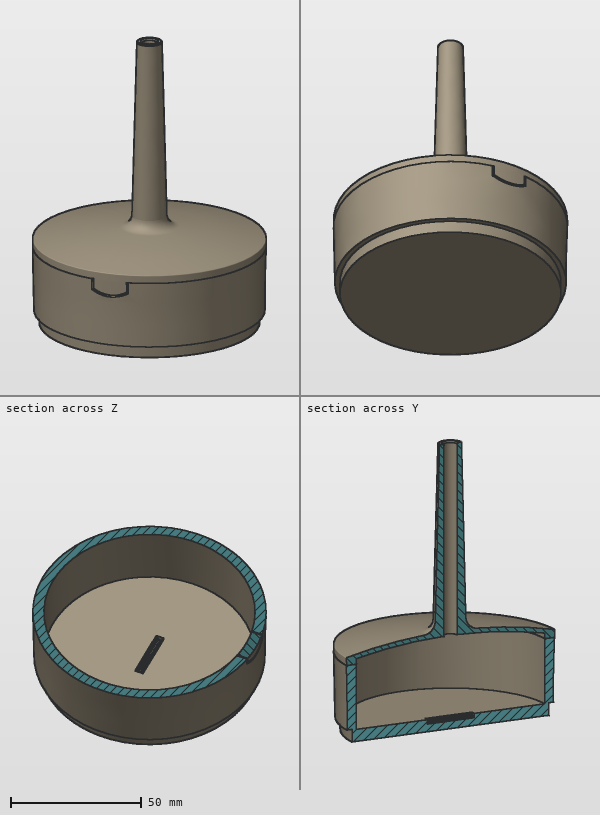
import cadquery as cq
import math

total_height = 114.08
outer_radius = 90 / 2

spigot_radius = 85 / 2
spigot_height = 5.0
base_bottom_radius = 89 / 2
cavity_radius = 81 / 2
floor_thickness = 5.0
joint_height = 31.0

rim_top = 33.8
rim_rounding = 0.4
dome_sphere_radius = 201.0
shell_thickness = 2.0
stem_foot_radius = 6.75
stem_foot_height = 43.3
stem_tip_radius = 4.9
fillet_outer_radius = 11.4
stem_tip_chamfer = 0.4

bore_radius = 2.8
mouth_radius = 3.4
mouth_depth = 0.6

tab_half_width = 6.75
tab_side_end = 27.1
tab_bottom = 25.3
tab_gap = 0.15
notch_chamfer = 0.55

trough_widths = (3.2, 2.46, 2.0)
trough_step_depth = 0.5
trough_v_width = 1.4
trough_v_depth = 0.25
trough_length = 20.0

dome_start_radius = outer_radius - rim_rounding
dome_start_height = rim_top + rim_rounding
dome_center_height = dome_start_height - math.sqrt(dome_sphere_radius**2 - dome_start_radius**2)


def dome_height(radius, sphere_radius=dome_sphere_radius):
    """Height of a sphere about the dome centre at a distance from the axis."""
    return dome_center_height + math.sqrt(sphere_radius**2 - radius**2)


def revolve_profile(profile):
    return profile.close().revolve(360, (0, 0, 0), (0, 1, 0))


def tab_prism(gap):
    """Tab outline with straight sides and an arched lower edge, offset outward by a gap."""
    half_width = tab_half_width + gap
    return (
        cq.Workplane("XZ")
        .moveTo(-half_width, joint_height)
        .lineTo(-half_width, tab_side_end - gap)
        .threePointArc((0, tab_bottom - gap), (half_width, tab_side_end - gap))
        .lineTo(half_width, joint_height)
        .close()
        .extrude(outer_radius)
    )


def make_wall():
    """Tapered wall between the spigot and the joint."""
    return revolve_profile(
        cq.Workplane("XZ")
        .moveTo(cavity_radius, spigot_height)
        .lineTo(base_bottom_radius, spigot_height)
        .lineTo(outer_radius, joint_height)
        .lineTo(cavity_radius, joint_height)
    )


def make_notched_wall():
    """Wall with the tab notch, whose outer edges are chamfered."""
    mid_wall_radius = (cavity_radius + outer_radius) / 2
    notch_edges = cq.selectors.BoxSelector(
        (-tab_half_width * 2, -outer_radius * 2, spigot_height * 2),
        (tab_half_width * 2, -mid_wall_radius, (tab_side_end + joint_height) / 2),
    )
    wall = make_wall().cut(tab_prism(tab_gap))
    return wall.edges(notch_edges).chamfer(notch_chamfer)


def make_trough():
    """Slots that narrow step by step with depth, ending in a V groove."""
    slot_floor = floor_thickness
    trough = cq.Workplane("XY")
    for width in trough_widths:
        slot_floor -= trough_step_depth
        slot = (
            cq.Workplane("XY").workplane(offset=slot_floor)
            .rect(trough_length, width).extrude(floor_thickness - slot_floor)
        )
        trough = trough.union(slot)
    v_half_width = trough_v_width / 2
    v_groove = (
        cq.Workplane("YZ")
        .moveTo(-v_half_width, slot_floor)
        .lineTo(0, slot_floor - trough_v_depth)
        .lineTo(v_half_width, slot_floor)
        .close()
        .extrude(trough_length / 2, both=True)
    )
    return trough.union(v_groove)


def make_base():
    spigot = cq.Workplane("XY").circle(spigot_radius).extrude(spigot_height)
    cavity = (
        cq.Workplane("XY").workplane(offset=floor_thickness)
        .circle(cavity_radius).extrude(joint_height - floor_thickness)
    )
    return spigot.union(make_notched_wall()).cut(cavity).cut(make_trough())


def make_lid():
    fillet_top = (stem_foot_radius, stem_foot_height)
    fillet_end = (fillet_outer_radius, dome_height(fillet_outer_radius))
    dome_middle = (fillet_outer_radius + dome_start_radius) / 2
    inner_sphere_radius = dome_sphere_radius - shell_thickness
    inner_middle = (bore_radius + cavity_radius) / 2
    rounding_middle = rim_rounding * math.sqrt(0.5)
    shell = revolve_profile(
        cq.Workplane("YZ")
        .moveTo(bore_radius, dome_height(bore_radius, inner_sphere_radius))
        .threePointArc(
            (inner_middle, dome_height(inner_middle, inner_sphere_radius)),
            (cavity_radius, dome_height(cavity_radius, inner_sphere_radius)),
        )
        .lineTo(cavity_radius, joint_height)
        .lineTo(outer_radius, joint_height)
        .lineTo(outer_radius, rim_top)
        .threePointArc(
            (dome_start_radius + rounding_middle, rim_top + rounding_middle),
            (dome_start_radius, dome_start_height),
        )
        .threePointArc((dome_middle, dome_height(dome_middle)), fillet_end)
        .tangentArcPoint(fillet_top, relative=False)
        .lineTo(stem_tip_radius, total_height - stem_tip_chamfer)
        .lineTo(stem_tip_radius - stem_tip_chamfer, total_height)
        .lineTo(mouth_radius, total_height)
        .lineTo(bore_radius, total_height - mouth_depth)
    )
    tab = make_wall().intersect(tab_prism(0))
    return shell.union(tab)


base = make_base()
lid = make_lid()

result = cq.Compound.makeCompound([base.val(), lid.val()])